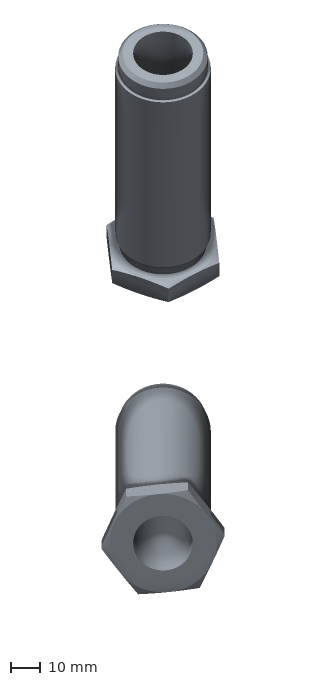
import cadquery as cq
import math

total_length = 100.0
bore_diameter = 20.0

hex_across_flats = 36.0
hex_height = 8.0
hex_across_corners = hex_across_flats / math.cos(math.radians(30))
hex_chamfer_angle = 15.0

neck_diameter = 29.5
neck_top = 11.5

barrel_diameter = 32.0
barrel_top = 93.0
barrel_chamfer = (barrel_diameter - neck_diameter) / 2

spigot_diameter = 30.0
spigot_chamfer = 1.5


def hex_head():
    """Hexagon with corners on Y, trimmed by cones that touch the flats at each end face."""
    prism = (
        cq.Workplane("XY")
        .polygon(6, hex_across_corners)
        .extrude(hex_height)
        .rotate((0, 0, 0), (0, 0, 1), 30)
    )
    flat_radius = hex_across_flats / 2
    corner_radius = hex_across_corners / 2
    drop = (corner_radius - flat_radius) * math.tan(math.radians(hex_chamfer_angle))
    envelope = (
        cq.Workplane("XZ")
        .polyline([
            (0, 0),
            (flat_radius, 0),
            (corner_radius, drop),
            (corner_radius, hex_height - drop),
            (flat_radius, hex_height),
            (0, hex_height),
        ])
        .close()
        .revolve(360, (0, 0, 0), (0, 1, 0))
    )
    return prism.intersect(envelope)


def shaft():
    """Neck, barrel and spigot turned about Z."""
    neck_radius = neck_diameter / 2
    barrel_radius = barrel_diameter / 2
    spigot_radius = spigot_diameter / 2
    return (
        cq.Workplane("XZ")
        .polyline([
            (0, 0),
            (neck_radius, 0),
            (neck_radius, neck_top),
            (barrel_radius, neck_top + barrel_chamfer),
            (barrel_radius, barrel_top),
            (spigot_radius, barrel_top),
            (spigot_radius, total_length - spigot_chamfer),
            (spigot_radius - spigot_chamfer, total_length),
            (0, total_length),
        ])
        .close()
        .revolve(360, (0, 0, 0), (0, 1, 0))
    )


bore = cq.Workplane("XY").circle(bore_diameter / 2).extrude(total_length)

result = hex_head().union(shaft()).cut(bore)